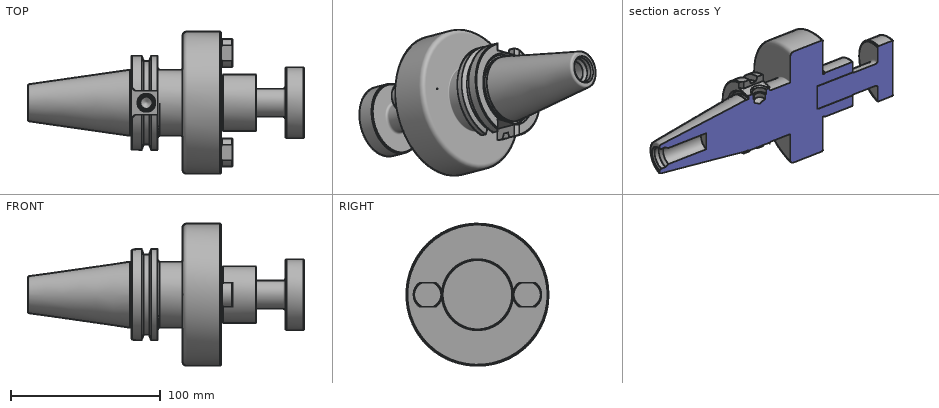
import cadquery as cq
import math


taper_end = 68.2
flange_start = 69.3
flange_end = 87.0
disc_start = 103.3
disc_end = 129.3
spigot_end = 152.8
head_start = 172.2
screw_end = 184.8

taper_small_dia = 24.8
taper_large_dia = 44.3
undercut_dia = 44.0
undercut_taper = 0.4
taper_tip_fillet = 1.5
bore_mouth_dia = 18.3
bore_pilot_dia = 16.5
bore_dia = 13.3
bore_mouth_depth = 1.3
bore_pilot_depth = 4.6
bore_cone_depth = 2.4
bore_depth = 37.0

flange_dia = 63.2
flange_chamfer = 0.5
face_groove_outer_dia = 49.3
face_groove_floor_dia = 47.1
face_groove_depth = 1.1
v_groove_center = 79.3
v_groove_mouth = 6.5
v_groove_floor = 3.5
v_groove_dia = 56.2
slot_width = 16.0
slot_top_floor = 25.0
slot_bottom_floor = 22.5
slot_entry_chamfer = 2.4

pocket_center = v_groove_center
pocket_mouth_dia = 12.2
pocket_dia = 10.2
pocket_depth = 4.6
pocket_drill_dia = 8.0
pocket_drill_depth = 8.3
drill_point_angle = 118.0

neck_dia = 44.3
neck_root_fillet = 1.1
neck_disc_fillet = 0.5
disc_dia = 95.3
disc_fillet = 3.1
disc_chamfer = 1.0
relief_dia = 36.5
relief_width = 0.7
spigot_dia = 38.0
spigot_root_chamfer = (spigot_dia - relief_dia) / 2
spigot_end_chamfer = 0.5

key_dia = 19.0
key_width = 15.9
key_offset = 33.3
key_height = 7.5
key_chamfer = 0.5
key_vent_dia = 0.4

stem_dia = 19.0
stem_depth = 27.7
stem_fillet = 1.7
head_dia = 47.7
head_chamfer = 0.7
stem_start = spigot_end - stem_depth


def cylinder(start, end, diameter):
    """Solid cylinder along the X axis."""
    return cq.Workplane("YZ", origin=(start, 0, 0)).circle(diameter / 2).extrude(end - start)


def revolve_about_x(points):
    """Revolve a closed (x, radius) outline about the X axis."""
    return cq.Workplane("XY").polyline(points).close().revolve(360, (0, 0, 0), (1, 0, 0))


def make_taper_shank():
    """Taper with a rounded tip and a short undercut running to the floor of the face groove."""
    small_radius = taper_small_dia / 2
    undercut_radius = undercut_dia / 2
    undercut_end = flange_start + face_groove_depth
    shank = revolve_about_x([
        (0, 0),
        (0, small_radius),
        (taper_end, taper_large_dia / 2),
        (taper_end + undercut_taper, undercut_radius),
        (undercut_end, undercut_radius),
        (undercut_end, 0),
    ])
    return shank.faces("<X").edges().fillet(taper_tip_fillet)


def make_flange():
    """Flange with a ring groove in its front face and a V groove round its rim."""
    flange = cylinder(flange_start, flange_end, flange_dia).edges().chamfer(flange_chamfer)
    floor = flange_start + face_groove_depth
    face_groove = revolve_about_x([
        (flange_start, 0),
        (flange_start, face_groove_outer_dia / 2),
        (floor, face_groove_floor_dia / 2),
        (floor, 0),
    ])
    v_groove = revolve_about_x([
        (v_groove_center - v_groove_floor / 2, v_groove_dia / 2),
        (v_groove_center + v_groove_floor / 2, v_groove_dia / 2),
        (v_groove_center + v_groove_mouth / 2, flange_dia / 2),
        (v_groove_center - v_groove_mouth / 2, flange_dia / 2),
    ])
    return flange.cut(face_groove).cut(v_groove)


def make_slot(floor_height, side):
    """Cutter for a flange slot above (side 1) or below (side -1), widened at its front entry."""
    half_width = slot_width / 2
    entry_half_width = half_width + slot_entry_chamfer
    outline = [
        (flange_start, -entry_half_width),
        (flange_start + slot_entry_chamfer, -half_width),
        (flange_end, -half_width),
        (flange_end, half_width),
        (flange_start + slot_entry_chamfer, half_width),
        (flange_start, entry_half_width),
    ]
    floor_plane = cq.Workplane("XY", origin=(0, 0, side * floor_height))
    return floor_plane.polyline(outline).close().extrude(side * (flange_dia / 2 - floor_height))


def make_slot_pocket():
    """Cutter for the chamfered pocket with a pointed drill hole, sunk from the upper slot floor."""
    mouth_radius = pocket_mouth_dia / 2
    radius = pocket_dia / 2
    drill_radius = pocket_drill_dia / 2
    tip_length = drill_radius / math.tan(math.radians(drill_point_angle / 2))
    outline = [
        (0, 0),
        (mouth_radius, 0),
        (radius, radius - mouth_radius),
        (radius, -pocket_depth),
        (drill_radius, -pocket_depth),
        (drill_radius, -pocket_drill_depth),
        (0, -pocket_drill_depth - tip_length),
    ]
    floor_plane = cq.Workplane("XZ", origin=(pocket_center, 0, slot_top_floor))
    return floor_plane.polyline(outline).close().revolve(360, (0, 0, 0), (0, 1, 0))


def make_drawbar_bore():
    """Cutter for the blind stepped bore in the small end of the taper."""
    cone_end = bore_pilot_depth + bore_cone_depth
    return revolve_about_x([
        (0, 0),
        (0, bore_mouth_dia / 2),
        (bore_mouth_depth, bore_pilot_dia / 2),
        (bore_pilot_depth, bore_pilot_dia / 2),
        (cone_end, bore_dia / 2),
        (bore_depth, bore_dia / 2),
        (bore_depth, 0),
    ])


def make_neck():
    """Neck behind the flange, flared by a fillet at each end."""
    radius = neck_dia / 2
    arc_mid_ratio = 1 - math.sqrt(0.5)
    root_mid = arc_mid_ratio * neck_root_fillet
    disc_mid = arc_mid_ratio * neck_disc_fillet
    return (
        cq.Workplane("XY")
        .moveTo(flange_end, 0)
        .lineTo(flange_end, radius + neck_root_fillet)
        .threePointArc(
            (flange_end + root_mid, radius + root_mid),
            (flange_end + neck_root_fillet, radius),
        )
        .lineTo(disc_start - neck_disc_fillet, radius)
        .threePointArc(
            (disc_start - disc_mid, radius + disc_mid),
            (disc_start, radius + neck_disc_fillet),
        )
        .lineTo(disc_start, 0)
        .close()
        .revolve(360, (0, 0, 0), (1, 0, 0))
    )


def make_disc():
    """Large disc, rounded at the front and chamfered at the back."""
    disc = cylinder(disc_start, disc_end, disc_dia)
    disc = disc.faces("<X").edges().fillet(disc_fillet)
    return disc.faces(">X").edges().chamfer(disc_chamfer)


def make_spigot():
    """Locating spigot with a relief groove at its root."""
    relief = cylinder(disc_end, disc_end + relief_width, relief_dia)
    spigot = cylinder(disc_end + relief_width, spigot_end, spigot_dia)
    spigot = spigot.faces("<X").edges().chamfer(spigot_root_chamfer)
    spigot = spigot.faces(">X").edges().chamfer(spigot_end_chamfer)
    return relief.union(spigot)


def make_holder():
    """Taper, flange, neck, disc and spigot as one body, with its bores, slots and key vents."""
    holder = make_flange().union(make_taper_shank()).union(make_neck())
    holder = holder.cut(make_slot(slot_top_floor, 1)).cut(make_slot(slot_bottom_floor, -1))
    holder = holder.union(make_disc()).union(make_spigot())
    holder = holder.cut(make_slot_pocket()).cut(make_drawbar_bore())
    holder = holder.cut(cylinder(stem_start, spigot_end, stem_dia))
    for side in (1, -1):
        vent = cylinder(disc_start, disc_end, key_vent_dia).translate((0, side * key_offset, 0))
        holder = holder.cut(vent)
    return holder


def make_drive_key(side):
    """Round key with two flats, seated on the back face of the disc."""
    key = cylinder(disc_end, disc_end + key_height, key_dia).edges().chamfer(key_chamfer)
    key_middle = disc_end + key_height / 2
    flats = cq.Workplane("XY", origin=(key_middle, 0, 0)).box(key_height, key_dia, key_width)
    return key.intersect(flats).translate((0, side * key_offset, 0))


def make_clamping_screw():
    """Screw whose stem fills the spigot bore and carries a wide round head."""
    head = cylinder(head_start, screw_end, head_dia).edges().chamfer(head_chamfer)
    screw = head.union(cylinder(stem_start, head_start, stem_dia))
    stem_rims = screw.edges("%CIRCLE").edges(cq.selectors.RadiusNthSelector(0))
    return stem_rims.edges(">X").fillet(stem_fillet)


holder = make_holder()
drive_keys = [make_drive_key(side) for side in (1, -1)]
clamping_screw = make_clamping_screw()

result = cq.Compound.makeCompound([
    holder.val(),
    *[key.val() for key in drive_keys],
    clamping_screw.val(),
])